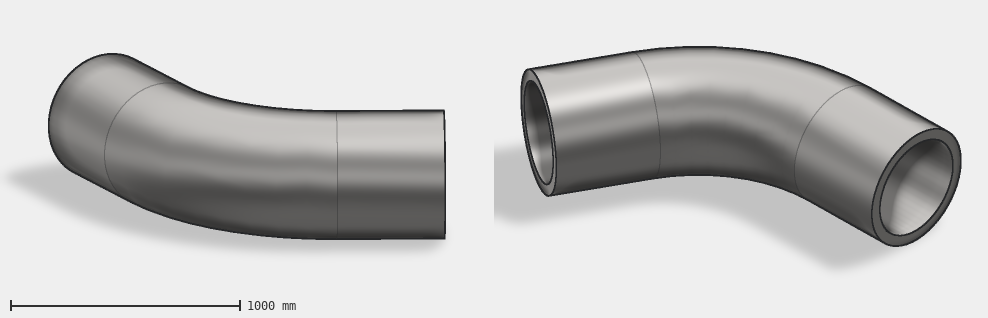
import cadquery as cq
import math

overall_length = 1712.0
outer_diameter = 560.0
inner_diameter = 459.0
straight_length = 471.0
bend_angle = 60.0

angle = math.radians(bend_angle)
outer_radius = outer_diameter / 2
straight_reach = straight_length * (1 + math.cos(angle))
bend_radius = (overall_length - straight_reach) / math.sin(angle) - outer_radius


def bend_point(turn):
    """Point on the bend centreline after turning from +X toward +Y."""
    return (
        straight_length + bend_radius * math.sin(turn),
        bend_radius * (1 - math.cos(turn)),
    )


bend_end = bend_point(angle)
outlet_end = (
    bend_end[0] + straight_length * math.cos(angle),
    bend_end[1] + straight_length * math.sin(angle),
)
centreline = (
    cq.Workplane("XY")
    .lineTo(straight_length, 0)
    .threePointArc(bend_point(angle / 2), bend_end)
    .lineTo(*outlet_end)
)

result = (
    cq.Workplane("YZ")
    .circle(outer_radius)
    .circle(inner_diameter / 2)
    .sweep(centreline)
)